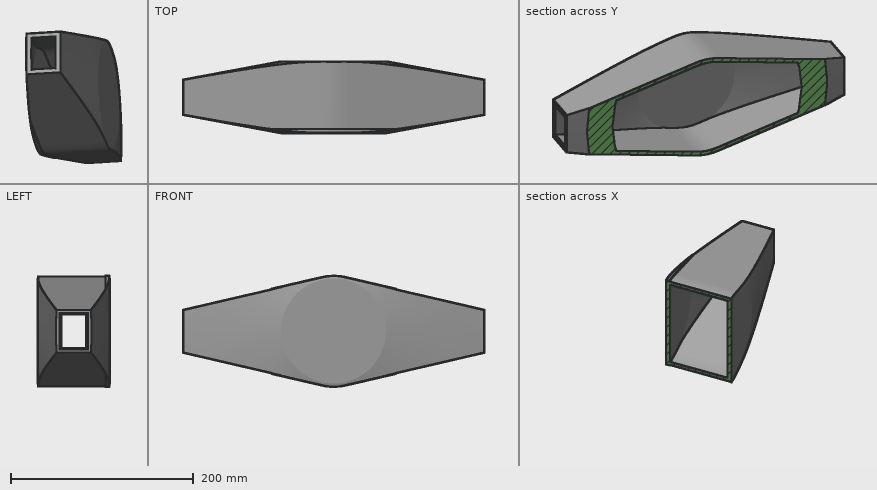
import cadquery as cq
import math

length = 330.0
depth = 79.0
height = 121.8
half_length = length / 2
half_depth = depth / 2

band_thickness = 4.5
band_rise = 0.5

crown_height = height / 2 - band_rise
crown_half_width = 13.5
shoulder_height = crown_height - 1.5
end_height = 47.0

flat_radius = 57.5
end_depth = 38.5

wall_y = 5.78
wall_z = 5.3

step_width = 31.5
step_height = 40.3
step_depth = 0.3


def outline_slab(rise, y_front, y_back):
    """Extrude the tapered outline, grown in Z by rise, between two Y planes."""
    crown = crown_height + rise
    shoulder = shoulder_height + rise
    end = end_height / 2 + rise
    return (
        cq.Workplane("XZ", origin=(0, y_back, 0))
        .moveTo(-half_length, -end)
        .lineTo(-half_length, end)
        .lineTo(-crown_half_width, shoulder)
        .threePointArc((0, crown), (crown_half_width, shoulder))
        .lineTo(half_length, end)
        .lineTo(half_length, -end)
        .lineTo(crown_half_width, -shoulder)
        .threePointArc((0, -crown), (-crown_half_width, -shoulder))
        .close()
        .extrude(y_back - y_front)
    )


def double_cone(inset):
    """Revolve the flat-topped front and back cones, moved inward in Y by inset."""
    corner_radius = math.hypot(half_length, end_height / 2 + band_rise)
    slope = (half_depth - end_depth / 2) / (half_length - flat_radius)
    flat_y = half_depth - inset
    rim_y = flat_y - slope * (corner_radius - flat_radius)
    return (
        cq.Workplane("XY")
        .moveTo(0, -flat_y)
        .lineTo(flat_radius, -flat_y)
        .lineTo(corner_radius, -rim_y)
        .lineTo(corner_radius, rim_y)
        .lineTo(flat_radius, flat_y)
        .lineTo(0, flat_y)
        .close()
        .revolve(360, (0, 0, 0), (0, 1, 0))
    )


def outer_shape():
    """Solid body with the front band, trimmed by the cones."""
    body = outline_slab(0, -half_depth, half_depth)
    band = outline_slab(band_rise, -half_depth, band_thickness - half_depth)
    return body.union(band).intersect(double_cone(0))


def cavity():
    """Interior that follows the outer taper at a constant wall thickness."""
    return outline_slab(-wall_z, -half_depth, half_depth).intersect(double_cone(wall_y))


def opening_step():
    """Shallow recess in the -X end face, around the opening."""
    step = cq.Workplane("XY").box(step_depth, step_width, step_height)
    return step.translate(((step_depth - length) / 2, 0, 0))


result = outer_shape().cut(cavity()).cut(opening_step())